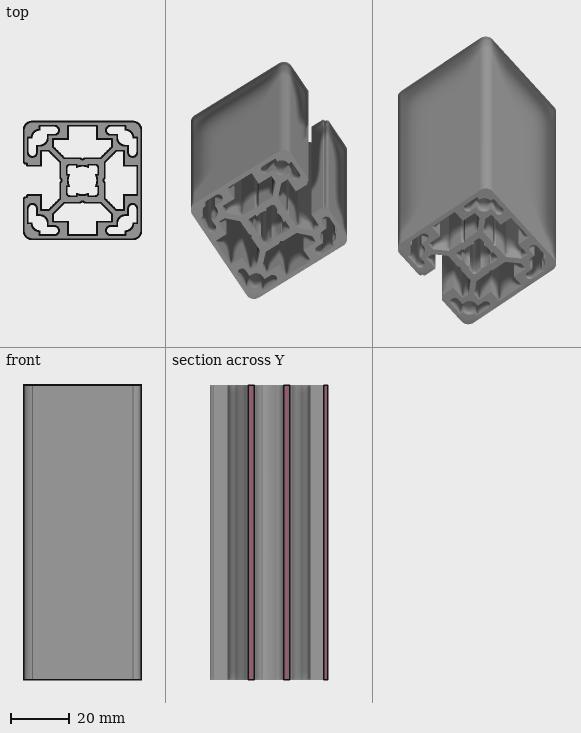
import cadquery as cq
import math

SIDE = 40.0
LENGTH = 100.0
CORNER_RADIUS = 3.0
WALL = 1.5

SLOT_HALF_OPENING = 4.9
LIP_DEPTH = 6.0
SLOT_HALF_WIDTH = 10.0
CORE_HALF_WIDTH = 7.6
SLOT_SHOULDER_HEIGHT = 11.4
NOTCH_DEPTH = 0.55
NOTCH_HALF_WIDTH = 0.85

MOUTH_HALF_WIDTH = 5.7
MOUTH_BEVEL = 0.5
MOUTH_LEDGE_DEPTH = 1.1
LIP_BEVEL = 0.3

BORE_HALF_WIDTH = 5.3
BORE_CORNER_RADIUS = 1.0
BORE_RIB_WIDTH = 4.0
BORE_RIB_RADIUS = 4.95

SCREW_INSET = 5.5
SCREW_RADIUS = 2.7
ARM_WIDTH = 3.0
ARM_END = 12.0

HALF = SIDE / 2
CUT_OVERLAP = 0.5
SIDES = 4
QUARTER_TURN = 360 / SIDES
OPEN_SIDE = 2


def prism(outline):
    """Extrude a closed XY outline over the full length."""
    return outline.extrude(LENGTH)


def sketch():
    return cq.Workplane("XY")


def rotated(body, quarter_turns):
    """Turn a body about the Z axis, from +X towards +Y."""
    return body.rotate((0, 0, 0), (0, 0, 1), QUARTER_TURN * quarter_turns)


def make_body():
    return prism(sketch().rect(SIDE, SIDE)).edges("|Z").fillet(CORNER_RADIUS)


def make_slot():
    """T-slot cavity on the +X side, closed by the outer wall."""
    floor_half_width = SLOT_HALF_WIDTH - (SLOT_SHOULDER_HEIGHT - CORE_HALF_WIDTH)
    lip = HALF - LIP_DEPTH
    upper_half = [
        (CORE_HALF_WIDTH - NOTCH_DEPTH, 0),
        (CORE_HALF_WIDTH, NOTCH_HALF_WIDTH),
        (CORE_HALF_WIDTH, floor_half_width),
        (SLOT_SHOULDER_HEIGHT, SLOT_HALF_WIDTH),
        (lip, SLOT_HALF_WIDTH),
        (lip, SLOT_HALF_OPENING),
        (HALF - WALL, SLOT_HALF_OPENING),
    ]
    lower_half = [(x, -y) for x, y in reversed(upper_half[1:])]
    return prism(sketch().polyline(upper_half + lower_half).close())


def make_mouth():
    """Opening through the outer wall of the +X slot, with bevelled and stepped edges."""
    ledge = HALF - MOUTH_LEDGE_DEPTH
    lip_start = ledge - LIP_BEVEL
    upper_half = [
        (lip_start - CUT_OVERLAP, SLOT_HALF_OPENING),
        (lip_start, SLOT_HALF_OPENING),
        (ledge, SLOT_HALF_OPENING + LIP_BEVEL),
        (ledge, MOUTH_HALF_WIDTH),
        (HALF - MOUTH_BEVEL, MOUTH_HALF_WIDTH),
        (HALF, MOUTH_HALF_WIDTH + MOUTH_BEVEL),
    ]
    lower_half = [(x, -y) for x, y in reversed(upper_half)]
    return prism(sketch().polyline(upper_half + lower_half).close())


def make_bore():
    width = 2 * BORE_HALF_WIDTH
    square = prism(sketch().rect(width, width)).edges("|Z").fillet(BORE_CORNER_RADIUS)
    ribs = prism(sketch().rect(width, BORE_RIB_WIDTH))
    ribs = ribs.union(prism(sketch().rect(BORE_RIB_WIDTH, width)))
    ribs = ribs.cut(prism(sketch().circle(BORE_RIB_RADIUS)))
    return square.cut(ribs)


def make_corner_cavity():
    """Screw bore with two round-ended arms, in the +X +Y corner."""
    centre = HALF - SCREW_INSET
    near = centre - SCREW_RADIUS
    far = centre + SCREW_RADIUS
    diagonal = SCREW_RADIUS * math.sqrt(0.5)
    arm_outer = HALF - WALL
    arm_inner = arm_outer - ARM_WIDTH
    arm_middle = (arm_outer + arm_inner) / 2
    arm_tip = HALF - ARM_END
    tip_start = arm_tip + ARM_WIDTH / 2
    return prism(
        sketch()
        .moveTo(centre, arm_outer)
        .lineTo(tip_start, arm_outer)
        .threePointArc((arm_tip, arm_middle), (tip_start, arm_inner))
        .lineTo(near, arm_inner)
        .lineTo(near, centre)
        .threePointArc((centre - diagonal, centre - diagonal), (centre, near))
        .lineTo(arm_inner, near)
        .lineTo(arm_inner, tip_start)
        .threePointArc((arm_middle, arm_tip), (arm_outer, tip_start))
        .lineTo(arm_outer, centre)
        .lineTo(far, centre)
        .threePointArc((centre + diagonal, centre + diagonal), (centre, far))
        .close()
    )


result = make_body().cut(make_bore())
for turn in range(SIDES):
    result = result.cut(rotated(make_slot(), turn))
    result = result.cut(rotated(make_corner_cavity(), turn))
result = result.cut(rotated(make_mouth(), OPEN_SIDE))